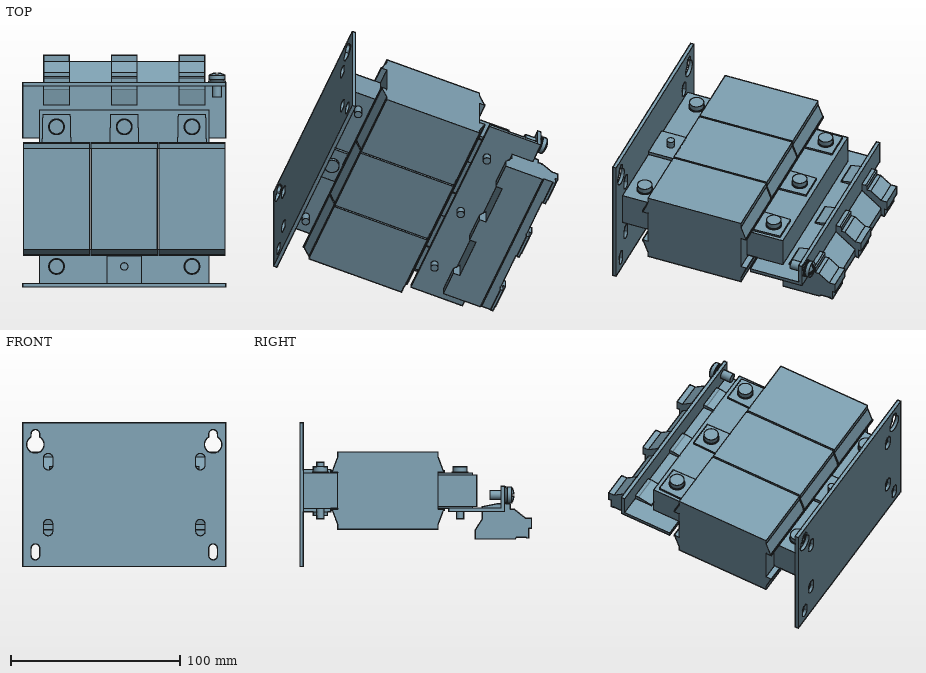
import cadquery as cq
import math


PLATE_WIDTH = 120.0
PLATE_HEIGHT = 85.0
PLATE_THICKNESS = 2.2
KEYHOLE_X = 52.4
KEYHOLE_Z = 29.5
KEYHOLE_RADIUS = 5.0
NECK_WIDTH = 4.9
NECK_TOP_Z = 38.3
CORNER_SLOT_BOTTOM_Z = -38.5
CORNER_SLOT_LENGTH = 9.3
INNER_SLOT_X = 44.9
INNER_SLOT_Z = 19.5
INNER_SLOT_WIDTH = 5.5
INNER_SLOT_LENGTH = 9.7

AXIS_Z = 2.3
CORE_WIDTH = 100.2
CORE_HEIGHT = 18.8
CORE_END_Y = 104.6
LEG_WIDTH = 19.2
CLAMP_THICKNESS = 1.1
CLAMP_OFFSET = CORE_HEIGHT / 2 + CLAMP_THICKNESS

PHASE_PITCH = 40.0
PHASE_X = (-PHASE_PITCH, 0, PHASE_PITCH)
COIL_WIDTH = 39.0
COIL_HALF_HEIGHT = 22.9
COIL_START_Y = 22.3
COIL_END_Y = 81.7
COIL_EDGE_HEIGHT = 3.0
COLLAR_REACH = 3.0
COLLAR_LIP_REACH = 3.5
COLLAR_LIP_OFFSET = 11.8
COLLAR_INNER_OFFSET = 11.0

TAB_END_Y = 102.0
TAB_END_WIDTH = 16.2
TAB_ROOT_WIDTH = 17.1

FOOT_WIDTH = 20.4
FOOT_END_Y = 18.3
FOOT_THICKNESS = 2.0

FRONT_BOLT_Y = 12.2
REAR_BOLT_Y = 94.6
SHANK_RADIUS = 2.2
SHANK_BOTTOM_Z = -14.4
HEAD_RADIUS = 4.2
HEAD_TOP_Z = 16.5
WASHER_RADIUS = 4.7
WASHER_THICKNESS = 0.5
FOOT_BOLT_TOP_Z = 19.2
FOOT_BOLT_HEAD_HEIGHT = 2.2

BRACKET_START_Y = 87.9
BRACKET_END_Y = 120.9
BRACKET_BOTTOM_Z = -10.0
BRACKET_TOP_Z = 5.0
BRACKET_THICKNESS = 2.2

SCREW_X = 54.7
SCREW_Z = -0.3
SCREW_RADIUS = 2.7
SCREW_TIP_Y = 112.2
SCREW_WASHER_RADIUS = 5.0
SCREW_WASHER_TOP = 0.8
SCREW_NECK_RADIUS = 4.2
SCREW_HEAD_BOTTOM = 1.6
SCREW_HEAD_RADIUS = 4.8
SCREW_HEAD_EDGE = 4.1
SCREW_HEAD_TOP = 5.6
RECESS_WIDTH = 1.1
RECESS_DEPTH = 1.2

TERMINAL_WIDTH = 15.2
TERMINAL_FRONT_Y = 103.5
TERMINAL_NECK_Y = 107.6
TERMINAL_REAR_Y = 136.9
TERMINAL_BOTTOM_Z = -26.3
REAR_LEDGE_Z = -13.8
REAR_STEP_Z = -20.0
RAIL_END_Y = 133.2
BOTTOM_END_Y = 127.0
BOTTOM_RECESS_Z = -25.2
RECESS_FRONT_Y = 128.0


def box(x_size, y_range, z_range, x_center=0):
    """Box centred on x_center, between two Y and two Z positions."""
    y_size = y_range[1] - y_range[0]
    z_size = z_range[1] - z_range[0]
    corner = (x_center - x_size / 2, y_range[0], z_range[0])
    return cq.Workplane("XY").box(x_size, y_size, z_size, centered=False).translate(corner)


def cylinder(x, y, radius, z_bottom, z_top):
    """Upright cylinder between two heights."""
    return cq.Workplane("XY", origin=(x, y, z_bottom)).circle(radius).extrude(z_top - z_bottom)


def extrude_side_profile(points, width, x_center=0):
    """Outline of (Y, Z) points, extruded along X about x_center."""
    outline = cq.Workplane("YZ", origin=(x_center, 0, 0)).polyline(points).close()
    return outline.extrude(width / 2, both=True)


def plate_cutter(sketch):
    """Turn a sketch of holes on the wall face into a through cutter."""
    return sketch.extrude(-PLATE_THICKNESS)


def wall_plate():
    half_height = PLATE_HEIGHT / 2
    plate = box(PLATE_WIDTH, (0, PLATE_THICKNESS), (-half_height, half_height))
    face = cq.Workplane("XZ")

    round_holes = face.pushPoints([(-KEYHOLE_X, KEYHOLE_Z), (KEYHOLE_X, KEYHOLE_Z)])
    plate = plate.cut(plate_cutter(round_holes.circle(KEYHOLE_RADIUS)))

    neck_length = NECK_TOP_Z - KEYHOLE_Z
    neck_z = NECK_TOP_Z - neck_length / 2
    corner_slot_z = CORNER_SLOT_BOTTOM_Z + CORNER_SLOT_LENGTH / 2
    slots = (
        (KEYHOLE_X, neck_z, neck_length, NECK_WIDTH),
        (KEYHOLE_X, corner_slot_z, CORNER_SLOT_LENGTH, NECK_WIDTH),
        (INNER_SLOT_X, INNER_SLOT_Z, INNER_SLOT_LENGTH, INNER_SLOT_WIDTH),
        (INNER_SLOT_X, -INNER_SLOT_Z, INNER_SLOT_LENGTH, INNER_SLOT_WIDTH),
    )
    for x, z, length, width in slots:
        pair = face.pushPoints([(-x, z), (x, z)])
        plate = plate.cut(plate_cutter(pair.slot2D(length, width, 90)))
    return plate


def core():
    z_range = (AXIS_Z - CORE_HEIGHT / 2, AXIS_Z + CORE_HEIGHT / 2)
    clamp_range = (AXIS_Z - CLAMP_OFFSET, AXIS_Z + CLAMP_OFFSET)
    body = box(CORE_WIDTH, (PLATE_THICKNESS, COIL_START_Y), clamp_range)
    body = body.union(box(CORE_WIDTH, (COIL_END_Y, CORE_END_Y), z_range))
    for x in PHASE_X:
        body = body.union(box(LEG_WIDTH, (COIL_START_Y, COIL_END_Y), z_range, x))
        body = body.union(clamp_tab(x, clamp_range))
    return body


def clamp_tab(x, z_range):
    """Slightly flared tab above and below the rear yoke, as one block through it."""
    outline = cq.Workplane("XY", origin=(x, 0, z_range[0])).polyline([
        (-TAB_ROOT_WIDTH / 2, COIL_END_Y),
        (TAB_ROOT_WIDTH / 2, COIL_END_Y),
        (TAB_END_WIDTH / 2, TAB_END_Y),
        (-TAB_END_WIDTH / 2, TAB_END_Y),
    ]).close()
    return outline.extrude(z_range[1] - z_range[0])


def coil(x):
    """Coil block with a sloped collar above and below the core at both ends."""
    quarter = [
        (0, COLLAR_INNER_OFFSET),
        (COLLAR_LIP_REACH, COLLAR_INNER_OFFSET),
        (COLLAR_LIP_REACH, COLLAR_LIP_OFFSET),
        (COLLAR_REACH, COLLAR_LIP_OFFSET),
        (0, COIL_HALF_HEIGHT - COIL_EDGE_HEIGHT),
        (0, COIL_HALF_HEIGHT),
    ]
    rear_top = [(COIL_END_Y + reach, AXIS_Z + offset) for reach, offset in quarter]
    front_top = [(COIL_START_Y - reach, AXIS_Z + offset) for reach, offset in reversed(quarter)]
    front_bottom = [(COIL_START_Y - reach, AXIS_Z - offset) for reach, offset in quarter]
    rear_bottom = [(COIL_END_Y + reach, AXIS_Z - offset) for reach, offset in reversed(quarter)]
    return extrude_side_profile(rear_top + front_top + front_bottom + rear_bottom, COIL_WIDTH, x)


def plate_feet():
    y_range = (PLATE_THICKNESS, FOOT_END_Y)
    top_z = AXIS_Z + CLAMP_OFFSET
    bottom_z = AXIS_Z - CLAMP_OFFSET
    top_foot = box(FOOT_WIDTH, y_range, (top_z, top_z + FOOT_THICKNESS))
    bottom_foot = box(FOOT_WIDTH, y_range, (bottom_z - FOOT_THICKNESS, bottom_z))
    return top_foot.union(bottom_foot)


def core_bolt(x, y):
    """Bolt through the core, with its head and washer on top."""
    seat_z = AXIS_Z + CLAMP_OFFSET
    bolt = cylinder(x, y, SHANK_RADIUS, SHANK_BOTTOM_Z, seat_z)
    bolt = bolt.union(cylinder(x, y, WASHER_RADIUS, seat_z, seat_z + WASHER_THICKNESS))
    return bolt.union(cylinder(x, y, HEAD_RADIUS, seat_z, HEAD_TOP_Z))


def foot_bolt():
    """Bolt through both plate feet, with its head underneath."""
    seat_z = AXIS_Z - CLAMP_OFFSET - FOOT_THICKNESS
    shank = cylinder(0, FRONT_BOLT_Y, SHANK_RADIUS, seat_z, FOOT_BOLT_TOP_Z)
    head = cylinder(0, FRONT_BOLT_Y, HEAD_RADIUS, seat_z - FOOT_BOLT_HEAD_HEIGHT, seat_z)
    return shank.union(head)


def bracket():
    shelf_top_z = BRACKET_BOTTOM_Z + BRACKET_THICKNESS
    wall_y = BRACKET_END_Y - BRACKET_THICKNESS
    shelf = box(PLATE_WIDTH, (BRACKET_START_Y, BRACKET_END_Y), (BRACKET_BOTTOM_Z, shelf_top_z))
    wall = box(PLATE_WIDTH, (wall_y, BRACKET_END_Y), (BRACKET_BOTTOM_Z, BRACKET_TOP_Z))
    return shelf.union(wall)


def earth_screw():
    """Domed cross-head screw, turned about an axis along Y."""
    cap_height = SCREW_HEAD_TOP - SCREW_HEAD_EDGE
    cap_radius = (SCREW_HEAD_RADIUS**2 + cap_height**2) / (2 * cap_height)
    mid_radius = SCREW_HEAD_RADIUS / 2
    mid_height = SCREW_HEAD_TOP - cap_radius + math.sqrt(cap_radius**2 - mid_radius**2)
    half_section = (
        cq.Workplane("XY")
        .moveTo(0, SCREW_TIP_Y - BRACKET_END_Y)
        .lineTo(SCREW_RADIUS, SCREW_TIP_Y - BRACKET_END_Y)
        .lineTo(SCREW_RADIUS, 0)
        .lineTo(SCREW_WASHER_RADIUS, 0)
        .lineTo(SCREW_WASHER_RADIUS, SCREW_WASHER_TOP)
        .lineTo(SCREW_NECK_RADIUS, SCREW_WASHER_TOP)
        .lineTo(SCREW_NECK_RADIUS, SCREW_HEAD_BOTTOM)
        .lineTo(SCREW_HEAD_RADIUS, SCREW_HEAD_BOTTOM)
        .lineTo(SCREW_HEAD_RADIUS, SCREW_HEAD_EDGE)
        .threePointArc((mid_radius, mid_height), (0, SCREW_HEAD_TOP))
        .close()
    )
    screw = half_section.revolve(360, (0, 0, 0), (0, 1, 0))
    recess_range = (SCREW_HEAD_TOP - RECESS_DEPTH, SCREW_HEAD_TOP)
    half_width = RECESS_WIDTH / 2
    screw = screw.cut(box(RECESS_WIDTH, recess_range, (-SCREW_HEAD_RADIUS, SCREW_HEAD_RADIUS)))
    screw = screw.cut(box(2 * SCREW_HEAD_RADIUS, recess_range, (-half_width, half_width)))
    return screw.translate((SCREW_X, BRACKET_END_Y, SCREW_Z))


def terminals():
    """Three terminal blocks joined by a rail with a sloped rear face."""
    block_profile = [
        (TERMINAL_FRONT_Y, TERMINAL_BOTTOM_Z),
        (TERMINAL_FRONT_Y, -21.0),
        (TERMINAL_NECK_Y, -14.4),
        (TERMINAL_NECK_Y, -7.1),
        (116.5, -5.3),
        (123.3, -5.3),
        (124.3, -5.7),
        (124.3, -8.6),
        (126.6, -8.6),
        (RAIL_END_Y, REAR_LEDGE_Z),
        (TERMINAL_REAR_Y, REAR_LEDGE_Z),
        (TERMINAL_REAR_Y, REAR_STEP_Z),
        (135.2, REAR_STEP_Z),
        (135.2, -25.7),
        (133.7, -25.7),
        (133.6, BOTTOM_RECESS_Z),
        (RECESS_FRONT_Y, BOTTOM_RECESS_Z),
        (BOTTOM_END_Y, TERMINAL_BOTTOM_Z),
    ]
    rail_profile = [
        (TERMINAL_NECK_Y, TERMINAL_BOTTOM_Z),
        (TERMINAL_NECK_Y, BRACKET_BOTTOM_Z),
        (BRACKET_END_Y, BRACKET_BOTTOM_Z),
        (RAIL_END_Y, REAR_STEP_Z),
        (RAIL_END_Y, BOTTOM_RECESS_Z),
        (RECESS_FRONT_Y, BOTTOM_RECESS_Z),
        (BOTTOM_END_Y, TERMINAL_BOTTOM_Z),
    ]
    row = extrude_side_profile(rail_profile, 2 * PHASE_PITCH)
    for x in PHASE_X:
        row = row.union(extrude_side_profile(block_profile, TERMINAL_WIDTH, x))
    return row


result = wall_plate().union(core()).union(plate_feet())
for phase_x in PHASE_X:
    result = result.union(coil(phase_x))
    result = result.union(core_bolt(phase_x, REAR_BOLT_Y))
for bolt_x in (-PHASE_PITCH, PHASE_PITCH):
    result = result.union(core_bolt(bolt_x, FRONT_BOLT_Y))
result = result.union(foot_bolt()).union(bracket())
result = result.union(terminals()).union(earth_screw())